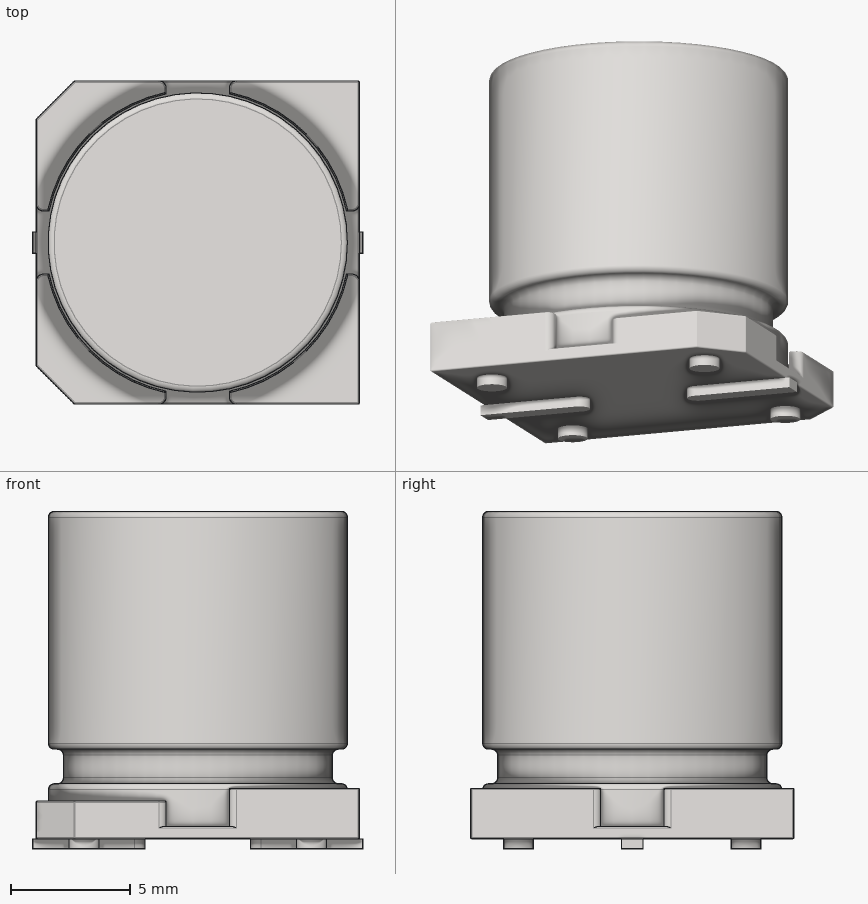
import cadquery as cq

total_height = 14.1

can_diameter = 12.5
neck_diameter = 11.25
roll_radius = 0.25
groove_bottom = 2.72
groove_top = 4.16

base_size = 13.5
base_bottom = 0.42
floor_top = 0.93
low_post_top = 2.0
high_post_top = 2.53
corner_chamfer = 1.6
notch_width = 2.64
post_round = 0.3
pocket_diameter = 12.7
edge_round = 0.06

foot_diameter = 1.25
foot_offset = 4.75
terminal_width = 0.9
terminal_outer = 6.9
terminal_inner = 2.2


def make_can():
    """Revolve the can: straight wall, rounded top rim and rolled neck groove."""
    can_radius = can_diameter / 2
    neck_radius = neck_diameter / 2
    profile = (
        cq.Workplane("XZ")
        .moveTo(0, base_bottom)
        .lineTo(can_radius, base_bottom)
        .lineTo(can_radius, groove_bottom - roll_radius)
        .radiusArc((can_radius - roll_radius, groove_bottom), -roll_radius)
        .lineTo(neck_radius + roll_radius, groove_bottom)
        .radiusArc((neck_radius, groove_bottom + roll_radius), roll_radius)
        .lineTo(neck_radius, groove_top - roll_radius)
        .radiusArc((neck_radius + roll_radius, groove_top), roll_radius)
        .lineTo(can_radius - roll_radius, groove_top)
        .radiusArc((can_radius, groove_top + roll_radius), -roll_radius)
        .lineTo(can_radius, total_height - roll_radius)
        .radiusArc((can_radius - roll_radius, total_height), -roll_radius)
        .lineTo(0, total_height)
        .close()
    )
    return profile.revolve(360, (0, 0, 0), (0, 1, 0))


def base_block(top):
    """Square block with chamfered -X corners, from the underside of the base up to the given height."""
    return (
        cq.Workplane("XY", origin=(0, 0, base_bottom))
        .rect(base_size, base_size)
        .extrude(top - base_bottom)
        .edges("|Z and <X")
        .chamfer(corner_chamfer)
        .edges("|Z")
        .fillet(edge_round)
    )


def corner_post(x_side, y_side, top):
    """One corner post, hollowed for the can and rounded where it meets the notches."""
    post_bottom = (base_bottom + floor_top) / 2
    post_size = (base_size - notch_width) / 2
    centre = (notch_width + post_size) / 2
    quadrant = (
        cq.Workplane("XY", origin=(x_side * centre, y_side * centre, post_bottom))
        .rect(post_size, post_size)
        .extrude(top - post_bottom)
    )
    reach = base_size / 2
    inner = notch_width / 2
    for x, y in ((reach, inner), (inner, reach)):
        corner = cq.selectors.NearestToPointSelector((x_side * x, y_side * y, (post_bottom + top) / 2))
        quadrant = quadrant.edges("|Z").edges(corner).fillet(post_round)
    pocket = cq.Workplane("XY").circle(pocket_diameter / 2).extrude(total_height)
    post = quadrant.intersect(base_block(top)).cut(pocket)
    return post.faces(">Z").edges().fillet(edge_round)


def make_base():
    """Thin floor plate with four corner posts, lower on the -X side."""
    base = base_block(floor_top).faces("<Z or >Z").edges().fillet(edge_round)
    for x_side, top in ((-1, low_post_top), (1, high_post_top)):
        for y_side in (-1, 1):
            base = base.union(corner_post(x_side, y_side, top))
    return base


def make_feet():
    """Four round feet under the corners of the base."""
    spacing = 2 * foot_offset
    return (
        cq.Workplane("XY")
        .rect(spacing, spacing, forConstruction=True)
        .vertices()
        .circle(foot_diameter / 2)
        .extrude(base_bottom)
    )


def make_terminal(side):
    """Flat terminal with a square outer end and a semicircular inner end."""
    half_width = terminal_width / 2
    round_start = side * (terminal_inner + half_width)
    return (
        cq.Workplane("XY")
        .moveTo(side * terminal_outer, -half_width)
        .lineTo(round_start, -half_width)
        .threePointArc((side * terminal_inner, 0), (round_start, half_width))
        .lineTo(side * terminal_outer, half_width)
        .close()
        .extrude(base_bottom)
    )


result = make_base().union(make_can()).union(make_feet())
for terminal_side in (-1, 1):
    result = result.union(make_terminal(terminal_side))